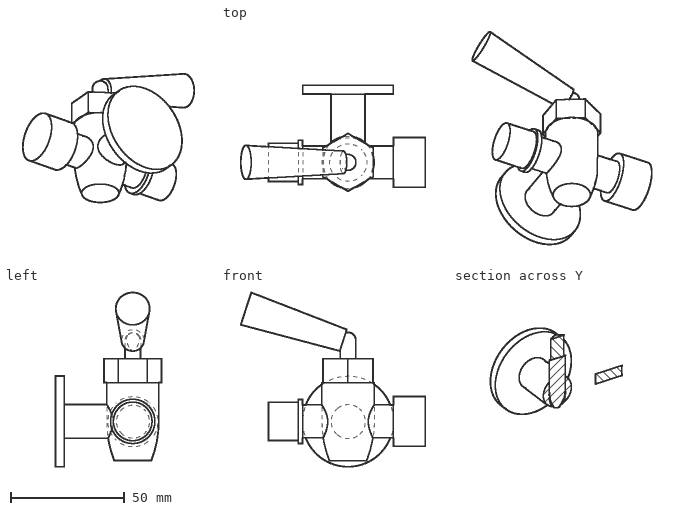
import cadquery as cq
import math


barrel_radius = 11.5
barrel_foot_radius = 8.2
barrel_top = 17.1
barrel_bottom = -17.25

nut_sides = 6
nut_across_flats = 22.0
nut_height = 10.5
spindle_radius = 3.5
spindle_shoulder = 35.67

handle_tilt = 18.0
handle_length = 45.0
handle_inner_radius = 5.0
handle_outer_radius = 7.5
handle_offset = 2.07

pipe_radius = 7.25
inlet_collar_start = 19.9
inlet_collar_width = 2.0
inlet_collar_radius = 9.75
inlet_spigot_radius = 8.5
inlet_length = 35.0
outlet_socket_radius = 11.0
outlet_socket_start = 20.0
outlet_length = 34.0

wall_pipe_radius = 7.5
flange_radius = 20.0
flange_thickness = 4.0
flange_back = 34.0

nut_top = barrel_top + nut_height


def cylinder(radius, start, direction, length):
    """Solid cylinder from a start point along a direction."""
    return cq.Workplane(
        obj=cq.Solid.makeCylinder(radius, length, cq.Vector(*start), cq.Vector(*direction))
    )


def make_barrel():
    """Straight upper half, then a bulged lower half that leaves it tangentially."""
    return (
        cq.Workplane("XZ")
        .moveTo(0, barrel_top)
        .lineTo(barrel_radius, barrel_top)
        .lineTo(barrel_radius, 0)
        .tangentArcPoint((barrel_foot_radius, barrel_bottom), relative=False)
        .lineTo(0, barrel_bottom)
        .close()
        .revolve(360, (0, 0, 0), (0, 1, 0))
    )


def make_nut():
    """Hexagon with two corners on the Y axis."""
    across_corners = nut_across_flats / math.cos(math.pi / nut_sides)
    return (
        cq.Workplane("XY")
        .workplane(offset=barrel_top)
        .transformed(rotate=(0, 0, 90))
        .polygon(nut_sides, across_corners)
        .extrude(nut_height)
    )


def make_handle():
    """Tilted cone pointing towards -X and upwards."""
    tilt = math.radians(handle_tilt)
    return cq.Workplane(
        obj=cq.Solid.makeCone(
            handle_inner_radius,
            handle_outer_radius,
            handle_length,
            cq.Vector(-handle_offset, 0, spindle_shoulder),
            cq.Vector(-math.cos(tilt), 0, math.sin(tilt)),
        )
    )


def make_spindle(handle):
    """Round-tipped pin on the nut, cut away where the handle enters it."""
    pin = cylinder(spindle_radius, (0, 0, nut_top), (0, 0, 1), spindle_shoulder - nut_top)
    tip = cq.Workplane("XY").sphere(spindle_radius).translate((0, 0, spindle_shoulder))
    return pin.union(tip).cut(handle)


def make_inlet(barrel):
    """Pipe towards -X with a collar and a thicker spigot, fitted to the barrel side."""
    spigot_start = inlet_collar_start + inlet_collar_width
    outwards = (-1, 0, 0)
    pipe = cylinder(pipe_radius, (0, 0, 0), outwards, inlet_collar_start)
    collar = cylinder(inlet_collar_radius, (-inlet_collar_start, 0, 0), outwards, inlet_collar_width)
    spigot = cylinder(inlet_spigot_radius, (-spigot_start, 0, 0), outwards, inlet_length - spigot_start)
    return pipe.cut(barrel).union(collar).union(spigot)


def make_outlet(barrel):
    """Pipe towards +X with a wide end socket, fitted to the barrel side."""
    outwards = (1, 0, 0)
    pipe = cylinder(pipe_radius, (0, 0, 0), outwards, outlet_socket_start)
    socket_length = outlet_length - outlet_socket_start
    socket = cylinder(outlet_socket_radius, (outlet_socket_start, 0, 0), outwards, socket_length)
    return pipe.cut(barrel).union(socket)


def make_wall_mount(barrel):
    """Pipe towards +Y ending in a round flange, fitted to the barrel side."""
    outwards = (0, 1, 0)
    flange_front = flange_back - flange_thickness
    pipe = cylinder(wall_pipe_radius, (0, 0, 0), outwards, flange_front)
    flange = cylinder(flange_radius, (0, flange_front, 0), outwards, flange_thickness)
    return pipe.cut(barrel).union(flange)


barrel = make_barrel()
nut = make_nut()
handle = make_handle()
spindle = make_spindle(handle)
inlet = make_inlet(barrel)
outlet = make_outlet(barrel)
wall_mount = make_wall_mount(barrel)

result = cq.Compound.makeCompound([
    barrel.solids().val(),
    nut.solids().val(),
    handle.solids().val(),
    spindle.solids().val(),
    inlet.solids().val(),
    outlet.solids().val(),
    wall_mount.solids().val(),
])